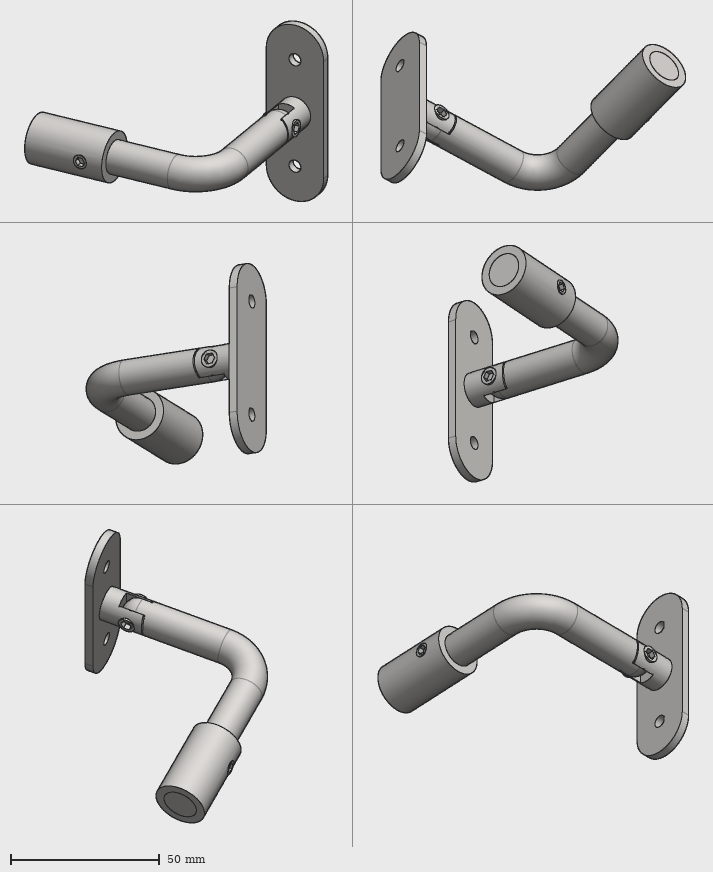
import cadquery as cq
import math


plate_width = 22.0
plate_height = 66.0
plate_thickness = 3.0
mount_hole_diameter = 4.5
mount_hole_spacing = 40.0

rod_diameter = 12.0
rod_radius = rod_diameter / 2

tongue_width = 6.0
slot_floor = 6.0
cheek_length = 15.6
cheek_tip_radius = 20.0
shoulder_gap = 0.5
tongue_centre = slot_floor + rod_radius

bend_radius = 14.0
arm_reach = 58.0
arm_end = -67.0

sleeve_diameter = 18.0
sleeve_length = 29.5

socket_depth = 2.0
pivot_screw_diameter = 6.0
pivot_socket_flats = 3.5
pivot_distance = 10.0
grub_screw_diameter = 5.0
grub_socket_flats = 3.0
grub_screw_inset = 8.35
grub_head_height = 8.97


def tip_block(tip):
    """Block on the plate side of a convex surface that reaches -Y as far as `tip`."""
    span = 2 * rod_diameter
    cylinder = (
        cq.Workplane("YZ")
        .center(cheek_tip_radius - tip, 0)
        .circle(cheek_tip_radius)
        .extrude(span / 2, both=True)
    )
    window = cq.Workplane("XY").box(span, tip, span).translate((0, -tip / 2, 0))
    return cylinder.intersect(window)


def add_screw_head(body, head_plane, diameter, socket_flats):
    """Add a flat round screw head to a curved wall and sink a hexagon socket into it."""
    socket_corners = 2 * socket_flats / math.sqrt(3)
    head = cq.Workplane(head_plane).circle(diameter / 2).extrude(-socket_depth)
    socket = cq.Workplane(head_plane).polygon(6, socket_corners).extrude(-socket_depth)
    return body.union(head).cut(socket)


def make_wall_plate():
    plate = (
        cq.Workplane("XZ")
        .slot2D(plate_height, plate_width, 90)
        .extrude(-plate_thickness)
    )
    holes = (
        cq.Workplane("XZ")
        .pushPoints([(0, -mount_hole_spacing / 2), (0, mount_hole_spacing / 2)])
        .circle(mount_hole_diameter / 2)
        .extrude(-plate_thickness)
    )
    post = cq.Workplane("XZ").circle(rod_radius).extrude(cheek_length)
    post = post.intersect(tip_block(cheek_length))
    slot = (
        cq.Workplane("XZ", origin=(0, -slot_floor, 0))
        .rect(tongue_width, rod_diameter)
        .extrude(cheek_length)
    )
    body = plate.cut(holes).union(post.cut(slot))
    for side in (-1, 1):
        head_plane = cq.Plane(
            origin=(side * rod_radius, -pivot_distance, 0),
            xDir=(0, 1, 0),
            normal=(side, 0, 0),
        )
        body = add_screw_head(body, head_plane, pivot_screw_diameter, pivot_socket_flats)
    return body


def make_arm():
    bend_chord = bend_radius * (1 - math.sqrt(0.5))
    path = (
        cq.Workplane("XY")
        .moveTo(0, -tongue_centre)
        .lineTo(0, -arm_reach + bend_radius)
        .threePointArc(
            (-bend_chord, -arm_reach + bend_chord),
            (-bend_radius, -arm_reach),
        )
        .lineTo(arm_end, -arm_reach)
    )
    rod = (
        cq.Workplane("XZ", origin=(0, -tongue_centre, 0))
        .circle(rod_radius)
        .sweep(path)
    )
    ball_profile = cq.Workplane("XY", origin=(0, -tongue_centre, 0)).lineTo(rod_radius, 0)
    ball_profile = ball_profile.radiusArc((0, rod_radius), -rod_radius).close()
    ball_end = ball_profile.revolve(360, (0, 0), (0, 1))
    tongue_space = cq.Workplane("XY").box(tongue_width, 2 * arm_reach, rod_diameter)
    cheek_space = tip_block(cheek_length + shoulder_gap).cut(tongue_space)
    return rod.union(ball_end).cut(cheek_space)


def make_sleeve():
    sleeve = (
        cq.Workplane("YZ", origin=(arm_end, -arm_reach, 0))
        .circle(sleeve_diameter / 2)
        .circle(rod_radius)
        .extrude(sleeve_length)
    )
    grub_screw_x = arm_end + sleeve_length - grub_screw_inset
    head_plane = cq.Plane(
        origin=(grub_screw_x, -arm_reach - grub_head_height, 0),
        xDir=(1, 0, 0),
        normal=(0, -1, 0),
    )
    head_recess = cq.Workplane(head_plane).circle(grub_screw_diameter / 2).extrude(socket_depth)
    sleeve = sleeve.cut(head_recess)
    return add_screw_head(sleeve, head_plane, grub_screw_diameter, grub_socket_flats)


wall_plate = make_wall_plate()
arm = make_arm()
sleeve = make_sleeve()

result = cq.Compound.makeCompound([wall_plate.val(), arm.val(), sleeve.val()])